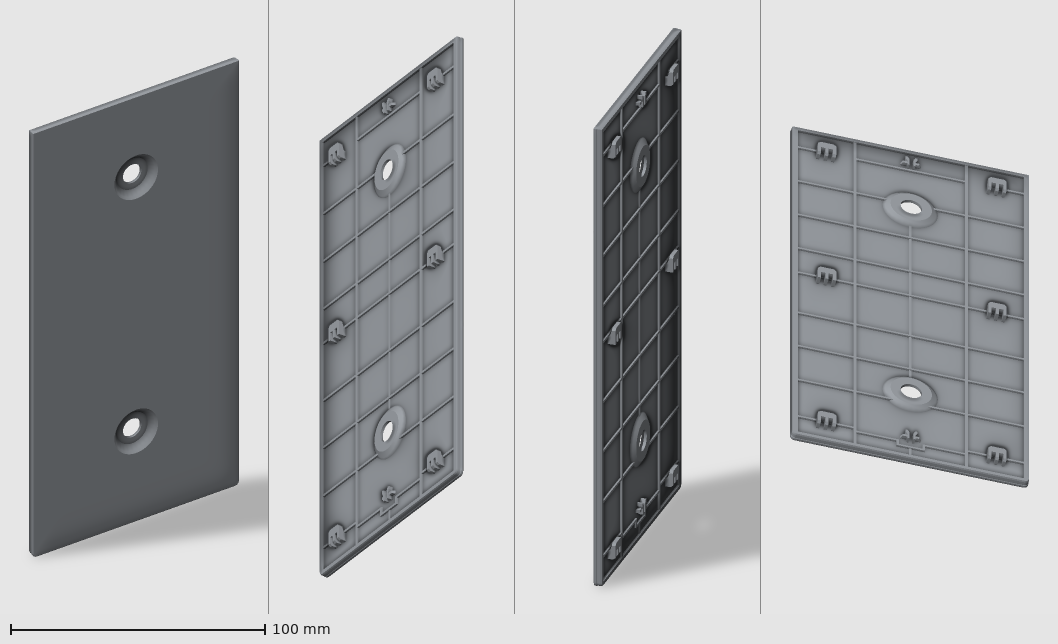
import cadquery as cq
import math

height = 200.3
width = 96.7
overall_depth = 5.8
thickness = 3.5
corner_radius = 2.0
front_bevel_depth = 0.6
front_bevel_inset = 0.2
lip_start = 2.0
lip_overhang = 0.2
lip_back_radius = 0.6

rim_width_side = 2.5
rim_width_end = 2.0
floor_depth = 1.0
recess_width = width - 2 * rim_width_side
recess_height = height - 2 * rim_width_end

rib_thickness = 1.0
side_rib_thickness = 1.2
rib_top = 0.2
center_rib_top = 0.6
side_rib_y = 22.6
row_rib_z = (65.5, 43.7, 21.8, 6.0, -20.2, -41.9, -63.9)
top_rib_z = 87.5
bottom_side_rib_z = -87.7
bottom_center_rib_z = -90.0

jog_half_width = 5.8
jog_bottom_z = -93.3

boss_z = (62.5, -57.5)
boss_top = -0.7
boss_top_radius = 8.5
boss_base_radius = 11.2
screw_hole_diameter = 8.6
screw_seat_wall = 1.2
seat_top_radius = 7.2
seat_back_radius = 10.2

hook_reach = overall_depth - thickness
hook_y = 34.7
hook_width = 7.5
hook_length = 7.0
hook_cap_length = 3.5
hook_cap_corner = 1.0
hook_cap_thickness = 1.6
hook_lip_length = 1.2
hook_slot_width = 1.8
hook_lead_in_depth = 1.0
hook_lead_in_height = 0.8
middle_hook_top_z = 9.0
end_hook_top_z = (90.3, -85.0)

clip_base_z = (89.0, -89.1)
clip_top = -1.2
clip_height = 5.2
clip_gap = 1.6
clip_finger_thickness = 0.8
clip_barb_reach = 0.8
clip_barb_height = 1.5
clip_gusset_reach = 4.2
clip_gusset_z = 1.6
clip_gusset_top = -0.6
clip_gusset_slope = 0.8
clip_gusset_thickness = 1.2


def block(x0, x1, y0, y1, z0, z1):
    """Axis-aligned box between two opposite corners."""
    return cq.Workplane("XY").box(x1 - x0, y1 - y0, z1 - z0, centered=False).translate((x0, y0, z0))


def rib(y0, y1, z0, z1, top=rib_top):
    """Rib rising from the recess floor."""
    return block(top, floor_depth, y0, y1, z0, z1)


def row_rib(y0, y1, z):
    """Rib along Y, centred on z."""
    return rib(y0, y1, z - rib_thickness / 2, z + rib_thickness / 2)


def side_rib(y):
    """Full-height rib along Z, centred on y."""
    end = recess_height / 2
    return rib(y - side_rib_thickness / 2, y + side_rib_thickness / 2, -end, end)


def center_rib(z0, z1):
    """Lower rib along Z on the centre line."""
    return rib(-rib_thickness / 2, rib_thickness / 2, z0, z1, center_rib_top)


def slab(x0, x1, inset):
    """Plate layer with round lower corners, inset along both sides and the bottom."""
    half = width / 2 - inset
    layer = block(x0, x1, -half, half, inset - height / 2, height / 2)
    return layer.edges("|X and <Z").fillet(corner_radius - inset)


def make_plate():
    """Front layer with a bevelled rim, and a slightly wider back lip, recessed from the -X side."""
    front = slab(front_bevel_depth, lip_start + lip_overhang, lip_overhang)
    bevel_angle = math.degrees(math.atan2(front_bevel_inset, front_bevel_depth))
    bevel = front.faces("<X").wires().toPending().workplane().extrude(
        front_bevel_depth, taper=bevel_angle, combine=False
    )
    lip = slab(lip_start, thickness, 0)
    lip = lip.faces("<X").edges("not >Z").chamfer(lip_overhang)
    lip = lip.faces(">X").edges("not >Z").fillet(lip_back_radius)
    plate = front.union(bevel).union(lip)
    recess = block(
        0, floor_depth, -recess_width / 2, recess_width / 2, -recess_height / 2, recess_height / 2
    )
    return plate.cut(recess)


def make_ribs():
    side = recess_width / 2
    ribs = center_rib(boss_z[1], boss_z[0])
    ribs = ribs.union(center_rib(-recess_height / 2, jog_bottom_z + rib_thickness))
    for y in (-side_rib_y, side_rib_y):
        ribs = ribs.union(side_rib(y))
    for z in row_rib_z:
        ribs = ribs.union(row_rib(-side, side, z))
    ribs = ribs.union(row_rib(-side_rib_y, side_rib_y, top_rib_z))
    ribs = ribs.union(row_rib(hook_y, side, top_rib_z))
    ribs = ribs.union(row_rib(-side, -hook_y, top_rib_z))
    ribs = ribs.union(row_rib(side_rib_y, side, bottom_side_rib_z))
    ribs = ribs.union(row_rib(-side, -side_rib_y, bottom_side_rib_z))
    return ribs.union(make_jogged_rib())


def make_jogged_rib():
    """Bottom centre rib that dips around the lower clip."""
    rib_upper_z = bottom_center_rib_z + rib_thickness / 2
    inner = jog_half_width - rib_thickness
    straight = row_rib(-side_rib_y, side_rib_y, bottom_center_rib_z)
    jog = rib(-jog_half_width, jog_half_width, jog_bottom_z, rib_upper_z)
    opening = rib(-inner, inner, jog_bottom_z + rib_thickness, rib_upper_z)
    return straight.union(jog).cut(opening)


def cone(top_x, base_x, top_radius, base_radius, z):
    """Round frustum about an axis along X, at height z."""
    half_section = [(top_x, 0), (top_x, top_radius), (base_x, base_radius), (base_x, 0)]
    profile = cq.Workplane("XY").polyline(half_section).close()
    return profile.revolve(360, (0, 0, 0), (1, 0, 0)).translate((0, 0, z))


def make_boss(z):
    return cone(boss_top, floor_depth, boss_top_radius, boss_base_radius, z)


def make_screw_opening(z):
    """Through hole with a conical screw head seat sunk from the back."""
    seat_top = boss_top + screw_seat_wall
    radius = screw_hole_diameter / 2
    hole = cone(boss_top, thickness, radius, radius, z)
    seat = cone(seat_top, thickness, seat_top_radius, seat_back_radius, z)
    return hole.union(seat)


def make_hook(y, top_z, lead_in):
    """Cap plate carried by three prongs, open upward between the cap and the floor."""
    lip_x = hook_cap_thickness - hook_reach
    profile = [
        (floor_depth, -hook_length),
        (-hook_reach, -hook_length),
        (-hook_reach, 0),
        (lip_x, 0),
        (lip_x, -hook_lip_length),
        (0, -hook_cap_length),
        (floor_depth, -hook_cap_length),
    ]
    if lead_in:
        profile[1:2] = [
            (hook_lead_in_depth - hook_reach, -hook_length),
            (-hook_reach, hook_lead_in_height - hook_length),
        ]
    hook = cq.Workplane("XZ").polyline(profile).close().extrude(hook_width / 2, both=True)
    hook = hook.edges("|X and >Z").chamfer(hook_cap_corner)
    prong_width = (hook_width - 2 * hook_slot_width) / 3
    slot_y = (prong_width + hook_slot_width) / 2
    for side in (-1, 1):
        center = side * slot_y
        slot = block(
            -hook_reach,
            floor_depth,
            center - hook_slot_width / 2,
            center + hook_slot_width / 2,
            -hook_length,
            -hook_cap_length,
        )
        hook = hook.cut(slot)
    return hook.translate((0, y, top_z))


def make_clip(base_z):
    inner = clip_gap / 2
    outer = inner + clip_finger_thickness
    barb = outer + clip_barb_reach
    finger_outline = [
        (inner, 0),
        (outer, 0),
        (outer, clip_height - 2 * clip_barb_height),
        (barb, clip_height - clip_barb_height),
        (barb, clip_height),
        (outer, clip_height),
        (inner, clip_height - clip_barb_height),
    ]
    finger = cq.Workplane("YZ").polyline(finger_outline).close().extrude(floor_depth - clip_top)
    finger = finger.translate((clip_top, 0, 0))
    gusset_outline = [
        (floor_depth, inner),
        (clip_gusset_top, inner),
        (clip_gusset_top, clip_gusset_reach - clip_gusset_slope),
        (floor_depth, clip_gusset_reach),
    ]
    gusset = cq.Workplane("XY").polyline(gusset_outline).close().extrude(clip_gusset_thickness)
    half = finger.union(gusset.translate((0, 0, clip_gusset_z)))
    return half.union(half.mirror("XZ")).translate((0, 0, base_z))


result = make_plate().union(make_ribs())
for z in boss_z:
    result = result.union(make_boss(z)).cut(make_screw_opening(z))
for y in (-hook_y, hook_y):
    result = result.union(make_hook(y, middle_hook_top_z, False))
    for z in end_hook_top_z:
        result = result.union(make_hook(y, z, True))
for z in clip_base_z:
    result = result.union(make_clip(z))